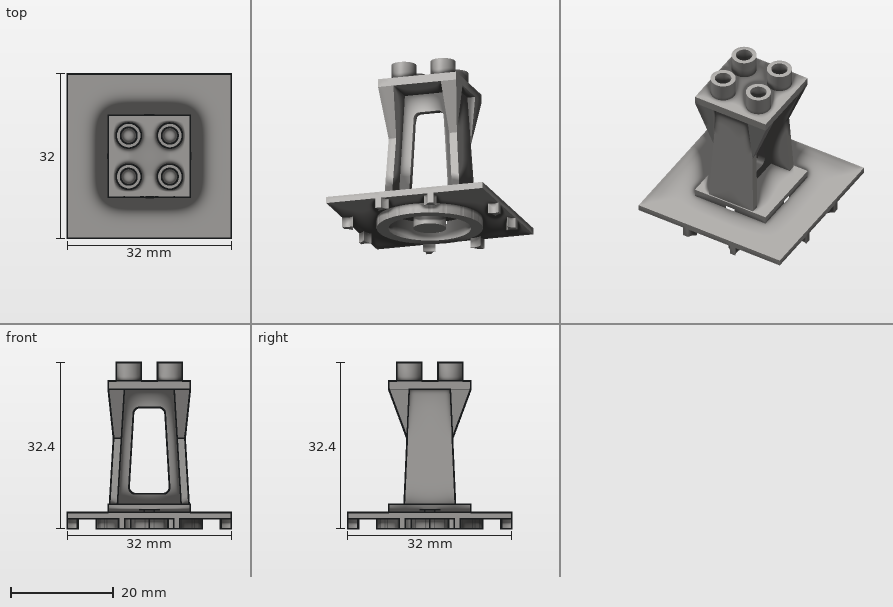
import cadquery as cq
import math

base_side = 32.0
base_thickness = 1.25
underside_height = 1.95
base_top = underside_height + base_thickness

bore_diameter = 16.11
bore_top = base_top + 0.55
pivot_diameter = 6.4
ring_radius = 10.34
stud_pitch = 8.0
near_stud = stud_pitch / 2
far_stud = stud_pitch * 3 / 2
stud_circle_radius = math.hypot(near_stud, far_stud)
stud_angle = math.degrees(math.atan2(near_stud, far_stud))
scallop_radius = 2.36
scallop_step = 16.0

grip_half_width = 1.2
grip_waist_half_width = 0.54
grip_waist_radius = 16.6
grip_notch_radius = 1.9
grip_inner_radius = 2.62

tower_side = 16.0
tower_plate_thickness = 1.6
panel_bottom = base_top + tower_plate_thickness
total_height = 32.4
stud_height = 3.6
top_plate_top = total_height - stud_height
panel_top = top_plate_top - tower_plate_thickness
panel_height = panel_top - panel_bottom

panel_thickness = 1.55
panel_bottom_x = 7.75
panel_lean = 1.35
panel_top_x = panel_bottom_x - panel_lean
panel_bottom_half_width = 5.0
panel_top_half_width = 4.0
gusset_bottom = 17.6

web_thickness = 1.5
window_bottom = 6.85
window_top = 23.6
window_bottom_half_width = 4.0
window_top_half_width = 3.0
window_corner_radius = 1.2

stud_diameter = 4.9
stud_hole_diameter = 3.2


def square_plate(side, bottom, thickness):
    return cq.Workplane("XY").workplane(offset=bottom).rect(side, side).extrude(thickness)


def cylinder(radius, height, x=0.0, y=0.0):
    return cq.Workplane("XY").center(x, y).circle(radius).extrude(height)


def polar_cylinder(radius, height, distance, angle):
    x = distance * math.cos(math.radians(angle))
    y = distance * math.sin(math.radians(angle))
    return cylinder(radius, height, x, y)


def turned(shape, angle):
    return shape.rotate((0, 0, 0), (0, 0, 1), angle)


def grip_angles():
    """Directions from the hub to the eight studs that the rim grips hug."""
    return [quarter * 90 + side * stud_angle for quarter in range(4) for side in (-1, 1)]


def make_hub_ring():
    """Ring with three shallow scallops around each grip direction."""
    ring = cylinder(ring_radius, underside_height)
    for grip_angle in grip_angles():
        for step in (-1, 0, 1):
            angle = grip_angle + step * scallop_step
            ring = ring.cut(polar_cylinder(scallop_radius, underside_height, stud_circle_radius, angle))
    return ring


def make_grip():
    """Waisted finger along +X, hollowed at its inner end to hug a stud."""
    outer_reach = base_side / math.sqrt(2)
    length = outer_reach - stud_circle_radius
    grip = (
        cq.Workplane("XY")
        .center(stud_circle_radius + length / 2, 0)
        .rect(length, 2 * grip_half_width)
        .extrude(underside_height)
    )
    grip = grip.cut(cylinder(grip_inner_radius, underside_height, stud_circle_radius))
    for side in (-1, 1):
        notch_y = side * (grip_waist_half_width + grip_notch_radius)
        grip = grip.cut(cylinder(grip_notch_radius, underside_height, grip_waist_radius, notch_y))
    return grip


def make_rim_grips():
    grips = cq.Workplane("XY")
    grip = make_grip()
    for angle in grip_angles():
        grips = grips.add(turned(grip, angle))
    return grips.combine().intersect(square_plate(base_side, 0, underside_height))


def solid_from_faces(faces):
    """Solid bounded by flat faces, each given as a list of corner points."""
    flat = []
    for corners in faces:
        wire = cq.Wire.makePolygon([cq.Vector(*corner) for corner in corners], close=True)
        flat.append(cq.Face.makeFromWires(wire))
    return cq.Workplane(obj=cq.Solid.makeSolid(cq.Shell.makeShell(flat)))


def panel_x_at(height):
    return panel_bottom_x - panel_lean * (height - panel_bottom) / panel_height


def make_panel():
    """Leaning panel on the +X side, tapering toward the top."""
    lean_profile = (
        cq.Workplane("XZ")
        .moveTo(panel_bottom_x, panel_bottom)
        .lineTo(panel_top_x, panel_top)
        .lineTo(panel_top_x - panel_thickness, panel_top)
        .lineTo(panel_bottom_x - panel_thickness, panel_bottom)
        .close()
        .extrude(panel_bottom_half_width, both=True)
    )
    taper_profile = (
        cq.Workplane("YZ")
        .moveTo(-panel_bottom_half_width, panel_bottom)
        .lineTo(panel_bottom_half_width, panel_bottom)
        .lineTo(panel_top_half_width, panel_top)
        .lineTo(-panel_top_half_width, panel_top)
        .close()
        .extrude(tower_side)
    )
    return lean_profile.intersect(taper_profile)


def make_gusset():
    """Wedge from the +X panel to the +X, +Y corner of the top plate.

    Its inner face is flush with the panel, and its outer face stands proud of the panel.
    """
    corner = tower_side / 2
    low_x = panel_x_at(gusset_bottom)
    rise = (gusset_bottom - panel_bottom) / panel_height
    low_y = panel_bottom_half_width + (panel_top_half_width - panel_bottom_half_width) * rise
    low_outer = (low_x, low_y, gusset_bottom)
    low_inner = (low_x - panel_thickness, low_y, gusset_bottom)
    root_outer = (corner, panel_top_half_width, panel_top)
    root_inner = (panel_top_x - panel_thickness, panel_top_half_width, panel_top)
    tip_outer = (corner, corner, panel_top)
    tip_inner = (panel_top_x - panel_thickness, corner, panel_top)
    faces = [
        [root_outer, root_inner, tip_inner, tip_outer],
        [low_outer, low_inner, tip_inner, tip_outer],
        [low_outer, low_inner, root_inner, root_outer],
        [low_outer, root_outer, tip_outer],
        [low_inner, root_inner, tip_inner],
    ]
    return solid_from_faces(faces)


def make_web():
    """Upright web between the panels with a tapered, rounded window."""
    panel_middle_bottom = panel_bottom_x - panel_thickness / 2
    panel_middle_top = panel_top_x - panel_thickness / 2
    web = (
        cq.Workplane("XZ")
        .moveTo(-panel_middle_bottom, panel_bottom)
        .lineTo(panel_middle_bottom, panel_bottom)
        .lineTo(panel_middle_top, panel_top)
        .lineTo(-panel_middle_top, panel_top)
        .close()
        .extrude(web_thickness / 2, both=True)
    )
    window = (
        cq.Workplane("XZ")
        .moveTo(-window_bottom_half_width, window_bottom)
        .lineTo(window_bottom_half_width, window_bottom)
        .lineTo(window_top_half_width, window_top)
        .lineTo(-window_top_half_width, window_top)
        .close()
        .extrude(web_thickness, both=True)
        .edges("|Y")
        .fillet(window_corner_radius)
    )
    return web.cut(window)


def make_studs():
    positions = [(x, y) for x in (-near_stud, near_stud) for y in (-near_stud, near_stud)]
    return (
        cq.Workplane("XY")
        .workplane(offset=top_plate_top)
        .pushPoints(positions)
        .circle(stud_diameter / 2)
        .circle(stud_hole_diameter / 2)
        .extrude(stud_height)
    )


def make_base():
    base = square_plate(base_side, underside_height, base_thickness)
    base = base.union(make_hub_ring()).union(make_rim_grips())
    base = base.union(square_plate(tower_side, base_top, tower_plate_thickness))
    base = base.cut(cylinder(bore_diameter / 2, bore_top))
    return base.union(cylinder(pivot_diameter / 2, bore_top))


def make_tower():
    tower = make_web()
    panel = make_panel()
    gusset = make_gusset()
    side = panel.union(gusset).union(gusset.mirror("XZ"))
    tower = tower.union(side).union(side.mirror("YZ"))
    tower = tower.union(square_plate(tower_side, panel_top, tower_plate_thickness))
    return tower.union(make_studs())


result = make_base().union(make_tower())